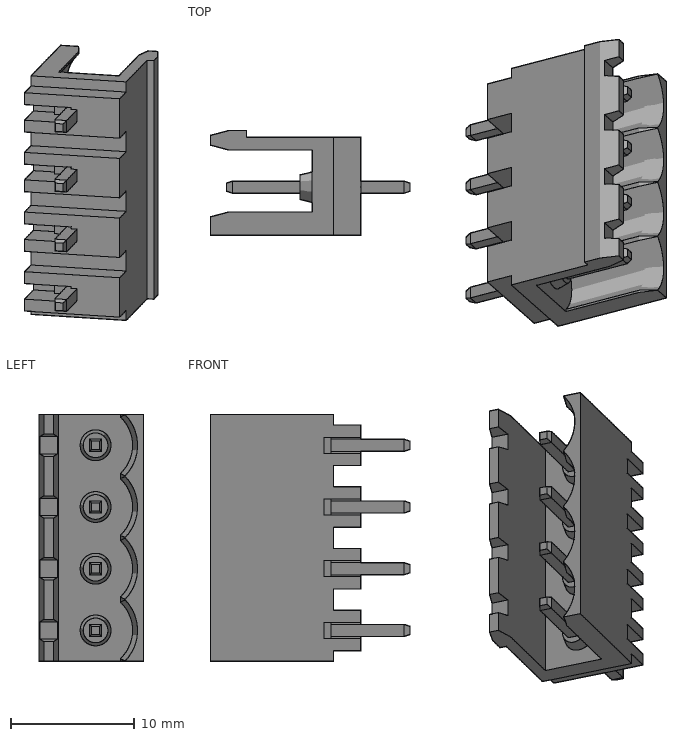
import cadquery as cq
import math

contact_count = 4
pitch = 5.0
height = contact_count * pitch
contact_heights = [(i + 0.5) * pitch for i in range(contact_count)]

body_length = 10.0
foot_end = 12.2
body_width = 7.95
cavity_depth = 8.25
front_wall = 1.9
latch_inner = 6.9
mouth_chamfer_length = 1.5
mouth_chamfer_depth = mouth_chamfer_length * math.tan(math.radians(15))

lip_outer = 8.5
lip_length = 2.95
notch_depth = 1.15
notch_mouth_width = 1.8
notch_floor_width = 1.4

scallop_center_y = 4.05
scallop_radius = 3.15
scallop_mouth_radius = scallop_radius + mouth_chamfer_depth

foot_height = 3.3
slot_height = 1.3
slot_start = 9.2
slot_shelf_end = 9.8
slot_shelf_y = front_wall

pin_y = 3.9
pin_size = 1.0
pin_tip_size = 0.66
pin_tip_length = 0.5
pin_start = 1.3
pin_end = 16.2
collar_length = 1.0
collar_base_diameter = 2.5
collar_end_diameter = 2.0


def plane_along_x(x, y, z):
    """Work plane at a point, facing +X, with its local x axis along +Y."""
    return cq.Workplane(cq.Plane(origin=(x, y, z), xDir=(0, 1, 0), normal=(1, 0, 0)))


def box_between(low, high):
    """Box spanning two opposite corners."""
    size = [b - a for a, b in zip(low, high)]
    return cq.Workplane("XY").box(*size, centered=False).translate(low)


def cone_along_x(x, y, z, start_radius, end_radius, length):
    """Truncated cone starting at a point and running along +X."""
    solid = cq.Solid.makeCone(
        start_radius, end_radius, length, cq.Vector(x, y, z), cq.Vector(1, 0, 0)
    )
    return cq.Workplane(solid)


def make_body():
    """U-shaped housing with a chamfered mouth and a raised latch lip."""
    outline = [
        (0, 0),
        (body_length, 0),
        (body_length, body_width),
        (lip_length, body_width),
        (lip_length, lip_outer),
        (mouth_chamfer_length, lip_outer),
        (0, lip_outer - mouth_chamfer_depth),
        (0, latch_inner + mouth_chamfer_depth),
        (mouth_chamfer_length, latch_inner),
        (cavity_depth, latch_inner),
        (cavity_depth, front_wall),
        (mouth_chamfer_length, front_wall),
        (0, front_wall - mouth_chamfer_depth),
    ]
    return cq.Workplane("XY").polyline(outline).close().extrude(height)


def make_scallop(z):
    """Round cutter that flares out at the mouth and stops at the cavity floor."""
    bore = plane_along_x(0, scallop_center_y, z).circle(scallop_radius).extrude(cavity_depth)
    flare = cone_along_x(
        0, scallop_center_y, z, scallop_mouth_radius, scallop_radius, mouth_chamfer_length
    )
    rear_half = box_between(
        (0, scallop_center_y, 0), (cavity_depth, scallop_center_y + scallop_mouth_radius, height)
    )
    return bore.union(flare).cut(rear_half)


def make_notch(z):
    """Tapered notch cutter across the latch lip."""
    profile = [
        (0, z - notch_mouth_width / 2),
        (notch_depth, z - notch_floor_width / 2),
        (notch_depth, z + notch_floor_width / 2),
        (0, z + notch_mouth_width / 2),
    ]
    cutter = cq.Workplane("XZ").polyline(profile).close().extrude(latch_inner - lip_outer)
    return cutter.translate((0, latch_inner, 0))


def make_foot(z):
    """Rectangular foot behind the body."""
    return box_between(
        (body_length, 0, z - foot_height / 2), (foot_end, body_width, z + foot_height / 2)
    )


def make_slot(z):
    """Stepped slot cutter: a shelf first, then down to the pin's axis."""
    bottom = z - slot_height / 2
    top = z + slot_height / 2
    shelf = box_between((slot_start, 0, bottom), (slot_shelf_end, slot_shelf_y, top))
    channel = box_between((slot_shelf_end, 0, bottom), (foot_end, pin_y, top))
    return shelf.union(channel)


def make_pin(z):
    """Square pin with a tapered tip at each end."""
    shank_start = pin_start + pin_tip_length
    shank_end = pin_end - pin_tip_length
    shank = plane_along_x(shank_start, pin_y, z).rect(pin_size, pin_size)
    pin = shank.extrude(shank_end - shank_start)
    for base_x, offset in ((shank_start, -pin_tip_length), (shank_end, pin_tip_length)):
        base = plane_along_x(base_x, pin_y, z).rect(pin_size, pin_size)
        tip = base.workplane(offset=offset).rect(pin_tip_size, pin_tip_size).loft(ruled=True)
        pin = pin.union(tip)
    return pin


def make_collar(z):
    """Tapered collar standing on the cavity floor around a pin."""
    return cone_along_x(
        cavity_depth - collar_length,
        pin_y,
        z,
        collar_end_diameter / 2,
        collar_base_diameter / 2,
        collar_length,
    )


result = make_body()
for contact_z in contact_heights:
    result = result.cut(make_scallop(contact_z)).cut(make_notch(contact_z))
    result = result.union(make_foot(contact_z)).cut(make_slot(contact_z))
    result = result.union(make_collar(contact_z)).union(make_pin(contact_z))